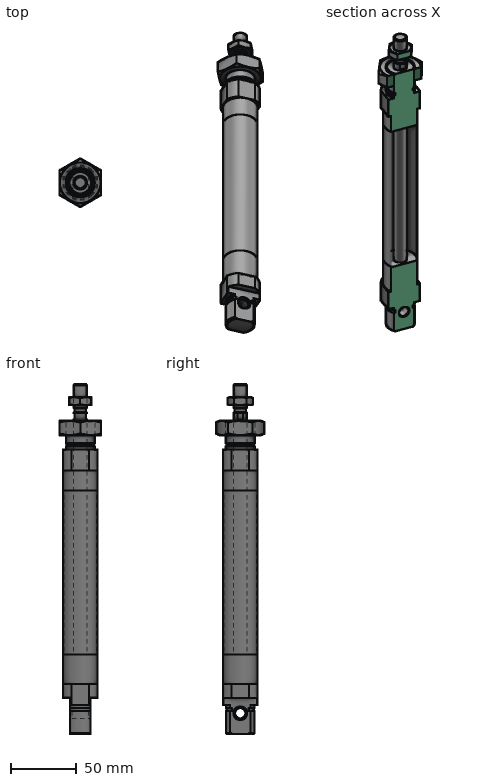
import cadquery as cq
import math


TOTAL_HEIGHT = 266.5
REAR_GROOVE_BOTTOM = 17.5
REAR_GROOVE_TOP = 20.0
REAR_CAP_BOTTOM = 22.0
CLEVIS_SHOULDER = 27.7
TUBE_BOTTOM = 38.5
BORE_BOTTOM = 60.8
BORE_TOP = 185.8
TUBE_TOP = 200.7
FRONT_CAP_TOP = 216.7
FRONT_GROOVE_BOTTOM = 219.0
FRONT_GROOVE_TOP = 220.7
MOUNT_NUT_BOTTOM = 227.5
COLLAR_TOP = 238.8
FLATS_BOTTOM = 239.5
NECK_BOTTOM = 244.6
NECK_TOP = 248.6
ROD_NUT_BOTTOM = 250.5

TUBE_DIAMETER = 26.5
BORE_DIAMETER = 25.0
CAP_WIDTH = 26.6
CAP_CORNER_DIAMETER = 29.8
COLLAR_DIAMETER = 22.0
GROOVE_DIAMETER = 20.3
GROOVE_ROOT_RADIUS = 0.8
COLLAR_BEVEL = (COLLAR_DIAMETER - GROOVE_DIAMETER) / 2
EYE_CHAMFER = 1.0
EYE_THICKNESS = 16.0
EYE_HOLE_DIAMETER = 8.0
EYE_BEVEL_DIAMETER = 9.0
EYE_MOUTH_DIAMETER = 10.0
EYE_MOUTH_DEPTH = (EYE_MOUTH_DIAMETER - EYE_BEVEL_DIAMETER) / 2
EYE_BEVEL_DEPTH = 1.5
EYE_HOLE_HEIGHT = 16.0

ROD_DIAMETER = 10.0
NECK_DIAMETER = 9.0
ROD_FLATS_WIDTH = 9.0
ROD_TIP_CHAMFER = 0.8

MOUNT_NUT_WIDTH = 32.0
MOUNT_NUT_HEIGHT = COLLAR_TOP - MOUNT_NUT_BOTTOM
ROD_NUT_WIDTH = 17.0
ROD_NUT_HEIGHT = 6.0
NUT_BEVEL_ANGLE = 25.0
BEVEL_CIRCLE_RATIO = 0.97


def cylinder(diameter, bottom, top):
    return cq.Workplane("XY").workplane(offset=bottom).circle(diameter / 2).extrude(top - bottom)


def block(width_x, width_y, bottom, top):
    return cq.Workplane("XY").workplane(offset=bottom).rect(width_x, width_y).extrude(top - bottom)


def square_cap(bottom, top):
    """Square end cap whose corners are rounded to one cylinder about the axis."""
    return block(CAP_WIDTH, CAP_WIDTH, bottom, top).intersect(cylinder(CAP_CORNER_DIAMETER, bottom, top))


def revolved(profile):
    """Solid of revolution about the axis from (radius, height) points."""
    return cq.Workplane("XZ").polyline(profile).close().revolve(360, (0, 0), (0, 1))


def groove(bottom, top, rounded_roots):
    """Square ring to cut from a collar, with the root edges that the selector picks rounded."""
    ring = cylinder(COLLAR_DIAMETER, bottom, top).cut(cylinder(GROOVE_DIAMETER, bottom, top))
    root_circles = ring.edges(cq.selectors.RadiusNthSelector(0))
    return root_circles.edges(rounded_roots).fillet(GROOVE_ROOT_RADIUS)


def collar_end_bevel():
    """Ring to cut from the lower end of the collar, tapering down to the groove."""
    outer = COLLAR_DIAMETER / 2
    inner = GROOVE_DIAMETER / 2
    bottom = FRONT_GROOVE_TOP
    return revolved([(inner, bottom), (outer, bottom), (outer, bottom + COLLAR_BEVEL)])


def make_rear_cap():
    """Rear end cap with a round neck, both milled flat on the sides up to the clevis shoulder."""
    neck = cylinder(COLLAR_DIAMETER, 0, REAR_CAP_BOTTOM).faces("<Z").chamfer(EYE_CHAMFER)
    neck = neck.cut(groove(REAR_GROOVE_BOTTOM, REAR_GROOVE_TOP, "<Z or >Z"))
    cap = square_cap(REAR_CAP_BOTTOM, TUBE_BOTTOM).union(neck)
    slab = block(CAP_CORNER_DIAMETER, CAP_CORNER_DIAMETER, 0, CLEVIS_SHOULDER)
    sides = slab.cut(block(EYE_THICKNESS, CAP_CORNER_DIAMETER, 0, CLEVIS_SHOULDER))
    return cap.cut(sides)


def eye_hole():
    """Cross hole along X, opening at both mouths in a slow taper and then a 45 degree bevel."""
    half = EYE_THICKNESS / 2
    radius = EYE_HOLE_DIAMETER / 2
    bevel = EYE_BEVEL_DIAMETER / 2
    mouth = EYE_MOUTH_DIAMETER / 2
    bevel_step = half - EYE_MOUTH_DEPTH
    right_side = [(half - EYE_BEVEL_DEPTH, radius), (bevel_step, bevel), (half, mouth), (half, 0)]
    left_side = [(-x, r) for x, r in reversed(right_side)]
    hole = cq.Workplane("XY").polyline(left_side + right_side).close().revolve(360, (0, 0), (1, 0))
    return hole.translate((0, 0, EYE_HOLE_HEIGHT))


def make_housing():
    body = make_rear_cap().cut(eye_hole())
    body = body.union(cylinder(TUBE_DIAMETER, TUBE_BOTTOM, TUBE_TOP))
    body = body.union(square_cap(TUBE_TOP, FRONT_CAP_TOP))
    collar = cylinder(COLLAR_DIAMETER, FRONT_CAP_TOP, COLLAR_TOP).faces(">Z").chamfer(COLLAR_BEVEL)
    collar = collar.cut(groove(FRONT_GROOVE_BOTTOM, FRONT_GROOVE_TOP, "<Z")).cut(collar_end_bevel())
    body = body.union(collar)
    piston_bore = cylinder(BORE_DIAMETER, BORE_BOTTOM, BORE_TOP)
    rod_bore = cylinder(ROD_DIAMETER, BORE_TOP, COLLAR_TOP)
    return body.cut(piston_bore).cut(rod_bore)


def make_rod():
    """Rod from the floor of the bore to its threaded tip, with a beveled neck and flats facing X."""
    radius = ROD_DIAMETER / 2
    neck = NECK_DIAMETER / 2
    neck_bevel = radius - neck
    rod = cylinder(ROD_DIAMETER, BORE_BOTTOM, TOTAL_HEIGHT).faces(">Z").chamfer(ROD_TIP_CHAMFER)
    neck_profile = [
        (radius, NECK_BOTTOM),
        (neck, NECK_BOTTOM + neck_bevel),
        (neck, NECK_TOP - neck_bevel),
        (radius, NECK_TOP),
    ]
    rod = rod.cut(revolved(neck_profile))
    band = cylinder(ROD_DIAMETER, FLATS_BOTTOM, NECK_BOTTOM)
    flats = band.cut(block(ROD_FLATS_WIDTH, ROD_DIAMETER, FLATS_BOTTOM, NECK_BOTTOM))
    return rod.cut(flats)


def make_nut(width, bore_diameter, bottom, height):
    """Hexagon nut with conical bevels on the corners of both faces."""
    corner_radius = width / math.sqrt(3)
    end_radius = BEVEL_CIRCLE_RATIO * width / 2
    bevel_height = (corner_radius - end_radius) * math.tan(math.radians(NUT_BEVEL_ANGLE))
    hexagon = cq.Workplane("XY").polygon(6, 2 * corner_radius).extrude(height)
    hexagon = hexagon.rotate((0, 0, 0), (0, 0, 1), 90)
    bevels = cylinder(2 * corner_radius, 0, height).edges().chamfer(bevel_height, corner_radius - end_radius)
    nut = hexagon.intersect(bevels).cut(cylinder(bore_diameter, 0, height))
    return nut.translate((0, 0, bottom))


housing = make_housing()
rod = make_rod()
mounting_nut = make_nut(MOUNT_NUT_WIDTH, COLLAR_DIAMETER, MOUNT_NUT_BOTTOM, MOUNT_NUT_HEIGHT)
rod_nut = make_nut(ROD_NUT_WIDTH, ROD_DIAMETER, ROD_NUT_BOTTOM, ROD_NUT_HEIGHT)

result = cq.Compound.makeCompound([housing.val(), rod.val(), mounting_nut.val(), rod_nut.val()])